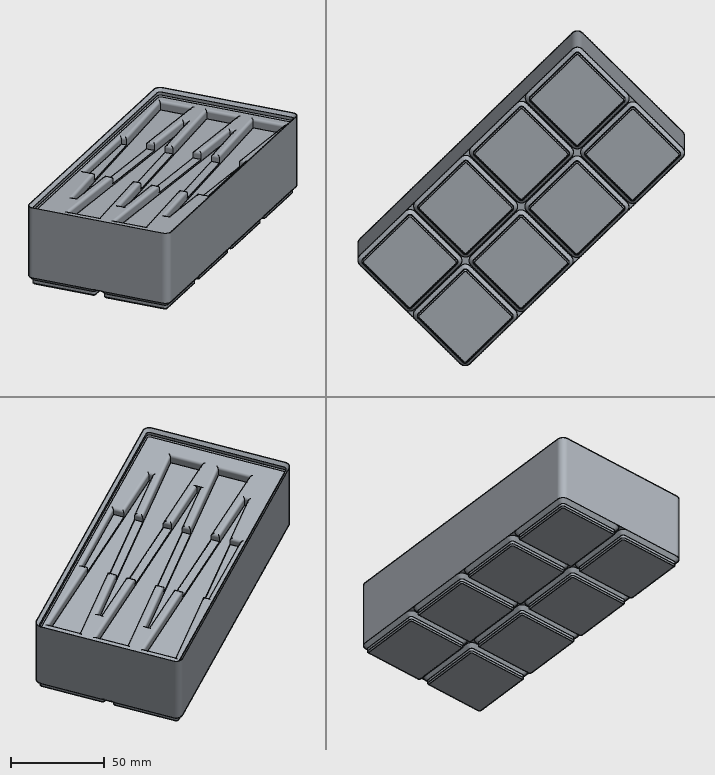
import cadquery as cq

length = 167.5
width = 83.5
height = 46.0

bevel_angle = 45

feet_x = 2
feet_y = 4
foot_gap = 0.5
foot_toe_radius = 0.8
foot_toe_bevel = 0.77
foot_straight = 1.8
foot_top_bevel = 2.2
corner_radius = foot_toe_radius + foot_toe_bevel + foot_top_bevel
foot_height = foot_toe_bevel + foot_straight + foot_top_bevel

lip_mouth_bevel = 1.8
lip_straight = 1.8
lip_lower_bevel = 0.7
lip_depth = lip_mouth_bevel + lip_straight + lip_lower_bevel
floor_z = height - lip_depth

pattern_y = 2.3
pocket_pitch = 27.3
pocket_head_y = 73.5
pocket_tip_y = 56.3
pocket_head_width = 17.8
pocket_tip_width = 2.0
pocket_depth = 5.0

recess_width = 2 * pocket_pitch + pocket_head_width
recess_length = 47.2
recess_depth = 4.0
rim_fillet = 1.5

select_margin = 0.2


def rounded_slab(x_size, y_size, radius, bottom_z, thickness):
    """Straight-walled slab with rounded vertical corners."""
    slab = cq.Workplane("XY").workplane(offset=bottom_z).rect(x_size, y_size).extrude(thickness)
    return slab.edges("|Z").fillet(radius)


def flared_slab(x_size, y_size, radius, bottom_z, bevel):
    """Slab of the given bottom size whose walls lean out at 45 degrees over the bevel height."""
    outline = cq.Sketch().rect(x_size, y_size).vertices().fillet(radius)
    return cq.Workplane("XY").workplane(offset=bottom_z).placeSketch(outline).extrude(bevel, taper=-bevel_angle)


def stepped_plug(x_size, y_size, radius, bottom_z, lower_bevel, straight, upper_bevel):
    """Plug with a lower bevel, a straight wall and an upper bevel; sizes are at its top."""
    waist_x = x_size - 2 * upper_bevel
    waist_y = y_size - 2 * upper_bevel
    waist_radius = radius - upper_bevel
    toe_x = waist_x - 2 * lower_bevel
    toe_y = waist_y - 2 * lower_bevel
    toe_radius = waist_radius - lower_bevel
    straight_z = bottom_z + lower_bevel
    plug = flared_slab(toe_x, toe_y, toe_radius, bottom_z, lower_bevel)
    plug = plug.union(rounded_slab(waist_x, waist_y, waist_radius, straight_z, straight))
    return plug.union(flared_slab(waist_x, waist_y, waist_radius, straight_z + straight, upper_bevel))


def pocket(x, direction):
    """Tapered pocket cutter; direction is +1 when the wide head is at +Y."""
    head_y = pattern_y + direction * pocket_head_y
    tip_y = pattern_y - direction * pocket_tip_y
    outline = [
        (x - pocket_head_width / 2, head_y),
        (x + pocket_head_width / 2, head_y),
        (x + pocket_tip_width / 2, tip_y),
        (x - pocket_tip_width / 2, tip_y),
    ]
    cutter = cq.Workplane("XY").workplane(offset=floor_z - pocket_depth)
    return cutter.polyline(outline).close().extrude(pocket_depth)


body = rounded_slab(width, length, corner_radius, foot_height, floor_z - foot_height)

recess = (
    cq.Workplane("XY")
    .workplane(offset=floor_z - recess_depth)
    .center(0, pattern_y)
    .rect(recess_width, recess_length)
    .extrude(recess_depth)
)
body = body.cut(recess)
for column in (-1, 0, 1):
    body = body.cut(pocket(column * pocket_pitch, 1))

for side in (-1, 1):
    body = body.cut(pocket(side * pocket_pitch / 2, -1))

rim_x = width / 2 - rim_fillet
rim_y = length / 2 - rim_fillet
rim_zone = cq.selectors.BoxSelector(
    (-rim_x, -rim_y, floor_z - select_margin),
    (rim_x, rim_y, floor_z + select_margin),
)
body = body.edges(rim_zone).fillet(rim_fillet)

middle_tip_y = pattern_y - pocket_tip_y
sharp_tip = (
    cq.Workplane("XY")
    .workplane(offset=floor_z - rim_fillet)
    .center(0, middle_tip_y - rim_fillet / 2)
    .rect(pocket_tip_width + 2 * rim_fillet, rim_fillet)
    .extrude(rim_fillet)
)
body = body.union(sharp_tip)

lip = rounded_slab(width, length, corner_radius, floor_z, lip_depth)
lip = lip.cut(
    stepped_plug(width, length, corner_radius, floor_z, lip_lower_bevel, lip_straight, lip_mouth_bevel)
)
body = body.union(lip)

foot_x_size = (width - (feet_x - 1) * foot_gap) / feet_x
foot_y_size = (length - (feet_y - 1) * foot_gap) / feet_y
foot = stepped_plug(
    foot_x_size, foot_y_size, corner_radius, 0, foot_toe_bevel, foot_straight, foot_top_bevel
)
for column in range(feet_x):
    for row in range(feet_y):
        foot_x = (column - (feet_x - 1) / 2) * (foot_x_size + foot_gap)
        foot_y = (row - (feet_y - 1) / 2) * (foot_y_size + foot_gap)
        body = body.union(foot.translate((foot_x, foot_y, 0)))

result = body